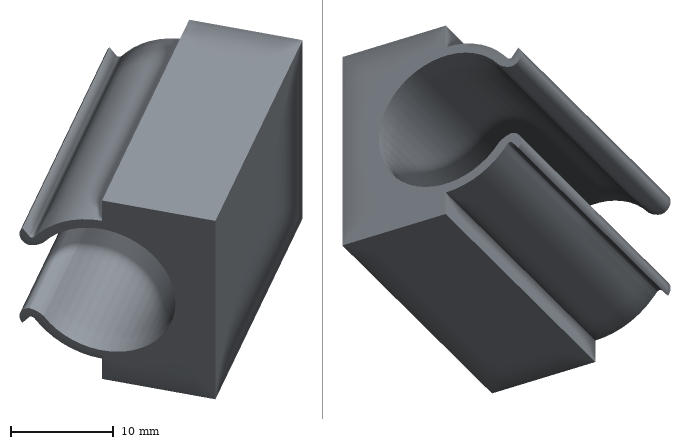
import cadquery as cq
import math

length = 30.0
height = 21.9
bore_radius = 7.45
wall = 1.02
back_wall = 4.05
outer_radius = bore_radius + wall
block_depth = bore_radius + back_wall

inner_end_angle = 43.0
outer_end_angle = 40.5

valley_run = 0.65

valley_start = (-7.32, 4.9)
lip_tip = (-8.07, 5.82)
lip_side = (-8.37, 4.98)
lip_bottom = (-7.32, 3.87)
lip_throat = (-6.35, 4.2)


def arm_point(radius, angle):
    """Point at an angle above the -X axis, on a circle about the bore axis."""
    turn = math.radians(angle)
    return (-radius * math.cos(turn), radius * math.sin(turn))


def extrude_profile(profile):
    """Extrude an XZ profile over the full length, centred on Y."""
    return profile.extrude(length / 2, both=True)


def make_upper_arm():
    """Spring arm with an outward-turned lip; the bore later rounds its inner face."""
    outer_middle = arm_point(outer_radius, (90 + outer_end_angle) / 2)
    outer_end = arm_point(outer_radius, outer_end_angle)
    inner_end = arm_point(bore_radius, inner_end_angle)

    turn = math.radians(outer_end_angle)
    valley_end = (
        outer_end[0] - valley_run * math.sin(turn),
        outer_end[1] - valley_run * math.cos(turn),
    )

    profile = (
        cq.Workplane("XZ")
        .moveTo(0, outer_radius)
        .threePointArc(outer_middle, outer_end)
        .lineTo(*valley_end)
        .tangentArcPoint(valley_start, relative=False)
        .lineTo(*lip_tip)
        .threePointArc(lip_side, lip_bottom)
        .threePointArc(lip_throat, inner_end)
        .lineTo(0, bore_radius)
        .close()
    )
    return extrude_profile(profile)


block = extrude_profile(cq.Workplane("XZ").center(block_depth / 2, 0).rect(block_depth, height))
bore = extrude_profile(cq.Workplane("XZ").circle(bore_radius))
upper_arm = make_upper_arm()
lower_arm = upper_arm.mirror("XY")
result = block.union(upper_arm).union(lower_arm).cut(bore)